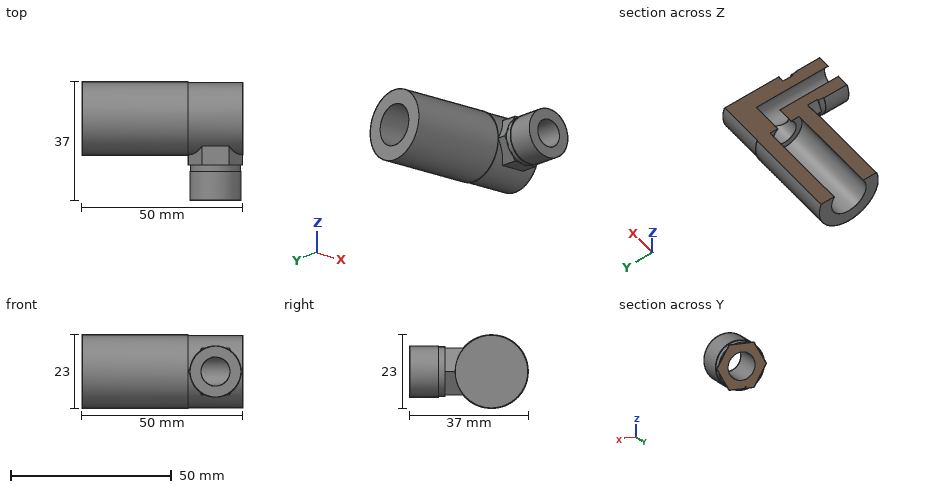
import cadquery as cq
import math

sleeve_diameter = 23.0
sleeve_length = 33.0
head_diameter = 22.6
head_length = 17.0
total_length = sleeve_length + head_length

branch_x = sleeve_length + head_length / 2
hex_sides = 6
hex_across_flats = 14.7
hex_across_corners = hex_across_flats / math.cos(math.pi / hex_sides)
hex_end = 14.5
neck_diameter = 15.6
neck_length = 2.0
barrel_diameter = 16.0
barrel_length = 9.0
neck_end = hex_end + neck_length
branch_end = neck_end + barrel_length

socket_diameter = 13.5
socket_depth = sleeve_length
bore_diameter = 9.0
wedge_reach = 2 * bore_diameter


def along_x(diameter, start, end):
    """Cylinder on the main axis between two X positions."""
    plane = cq.Workplane("YZ", origin=(start, 0, 0))
    return plane.circle(diameter / 2).extrude(end - start)


def branch_plane(distance):
    """Plane across the branch at a distance from the main axis, facing -Y."""
    return cq.Workplane("XZ", origin=(branch_x, -distance, 0))


def along_branch(diameter, start, end):
    """Cylinder on the branch axis between two distances from the main axis."""
    return branch_plane(start).circle(diameter / 2).extrude(end - start)


def main_body():
    sleeve = along_x(sleeve_diameter, 0, sleeve_length)
    head = along_x(head_diameter, sleeve_length, total_length)
    return sleeve.union(head)


def branch():
    """Hexagon with flats facing up and down, then neck and barrel."""
    hexagon = branch_plane(0).polygon(hex_sides, hex_across_corners).extrude(hex_end)
    neck = along_branch(neck_diameter, hex_end, neck_end)
    barrel = along_branch(barrel_diameter, neck_end, branch_end)
    return hexagon.union(neck).union(barrel)


def mitre_wedge(tip_x, tip_y):
    """Triangular block on one side of the mitre, covering the bend of the bores."""
    return (
        cq.Workplane("XY", origin=(branch_x, 0, -bore_diameter))
        .moveTo(-wedge_reach, -wedge_reach)
        .lineTo(wedge_reach, wedge_reach)
        .lineTo(tip_x, tip_y)
        .close()
        .extrude(2 * bore_diameter)
    )


def elbow_passage():
    """Two equal bores joined in a 45 degree mitre where their axes meet."""
    main_bore = along_x(bore_diameter, 0, branch_x + bore_diameter)
    branch_bore = along_branch(bore_diameter, -bore_diameter, branch_end)
    main_side = mitre_wedge(-wedge_reach, wedge_reach)
    branch_side = mitre_wedge(wedge_reach, -wedge_reach)
    return main_bore.cut(branch_side).union(branch_bore.cut(main_side))


def socket():
    """Wider entry at the open end of the sleeve."""
    return along_x(socket_diameter, 0, socket_depth)


result = main_body().union(branch()).cut(elbow_passage()).cut(socket())